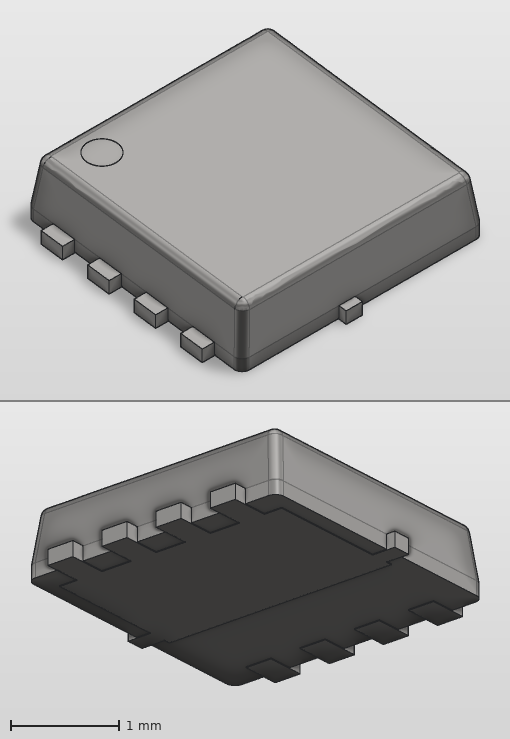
import cadquery as cq
import math

overall_x = 3.2
overall_y = 3.3
overall_z = 0.76

body_side = 3.0
standoff = 0.01
draft_angle = 7.0
edge_radius = 0.1

lead_height = 0.165
lead_width = 0.3
lead_pitch = 0.65
leads_per_side = 4
lead_length = 0.422

pad_width = 2.665
pad_front_y = -0.363
tab_width = 0.2
tab_center_y = -0.19

mark_radius = 0.195
mark_x = -1.065
mark_y = -0.95
mark_depth = 0.003


def make_body():
    """Square body with a straight base band, drafted walls and rounded edges."""
    inset = (overall_z - lead_height) * math.tan(math.radians(draft_angle))
    top_side = body_side - 2 * inset
    base_band = (
        cq.Workplane("XY")
        .workplane(offset=standoff)
        .rect(body_side, body_side)
        .extrude(lead_height - standoff)
    )
    drafted_part = (
        cq.Workplane("XY")
        .workplane(offset=lead_height)
        .rect(body_side, body_side)
        .workplane(offset=overall_z - lead_height)
        .rect(top_side, top_side)
        .loft(ruled=True)
    )
    sharp_body = base_band.union(drafted_part)
    rounded_corners = sharp_body.edges("not(|X or |Y)").fillet(edge_radius)
    return rounded_corners.faces(">Z").edges().fillet(edge_radius)


def make_plate(x_min, x_max, y_min, y_max):
    """Rectangular piece of the lead frame, resting on the seating plane."""
    return cq.Workplane("XY").box(
        x_max - x_min, y_max - y_min, lead_height, centered=False
    ).translate((x_min, y_min, 0))


def make_lead_frame():
    """Pad joined to the rear leads and side tabs, with separate front leads."""
    half_y = overall_y / 2
    lead_inner_y = half_y - lead_length

    frame = make_plate(-pad_width / 2, pad_width / 2, pad_front_y, lead_inner_y)
    frame = frame.union(make_plate(
        -overall_x / 2,
        overall_x / 2,
        tab_center_y - tab_width / 2,
        tab_center_y + tab_width / 2,
    ))
    for index in range(leads_per_side):
        center_x = (index - (leads_per_side - 1) / 2) * lead_pitch
        left = center_x - lead_width / 2
        right = center_x + lead_width / 2
        frame = frame.union(make_plate(left, right, -half_y, -lead_inner_y))
        frame = frame.union(make_plate(left, right, lead_inner_y, half_y))
    return frame


def make_pin_mark():
    """Shallow round recess in the top face beside the first lead."""
    return (
        cq.Workplane("XY")
        .workplane(offset=overall_z - mark_depth)
        .center(mark_x, mark_y)
        .circle(mark_radius)
        .extrude(mark_depth)
    )


result = make_body().union(make_lead_frame()).cut(make_pin_mark())